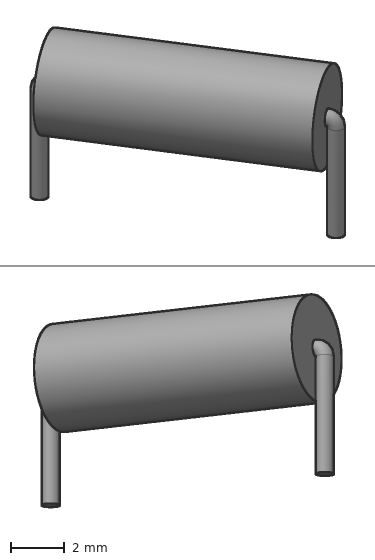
import cadquery as cq

overall_length = 12.17
overall_height = 6.86
body_diameter = 4.06
lead_diameter = 0.68

body_length = overall_length - 2 * lead_diameter
body_end = body_length / 2
lead_radius = lead_diameter / 2
bend_radius = lead_radius
lead_bottom = body_diameter / 2 - overall_height
leg_length = -bend_radius - lead_bottom


def make_body():
    """Plain cylinder lying along X."""
    return cq.Workplane("YZ", origin=(-body_end, 0, 0)).circle(body_diameter / 2).extrude(body_length)


def make_lead(turn):
    """Round wire bending straight down from the -X end face, then turned about Z by an angle in degrees."""
    leg_x = -body_end - bend_radius
    leg = cq.Workplane("XY", origin=(leg_x, 0, lead_bottom)).circle(lead_radius).extrude(leg_length)

    bend = (
        cq.Workplane("XY", origin=(leg_x, 0, -bend_radius))
        .circle(lead_radius)
        .revolve(90, (bend_radius, 0, 0), (bend_radius, 1, 0))
    )
    return leg.union(bend).rotate((0, 0, 0), (0, 0, 1), turn)


body = make_body()
leads = [make_lead(turn) for turn in (0, 180)]

result = cq.Compound.makeCompound([body.val(), *[lead.solids().val() for lead in leads]])